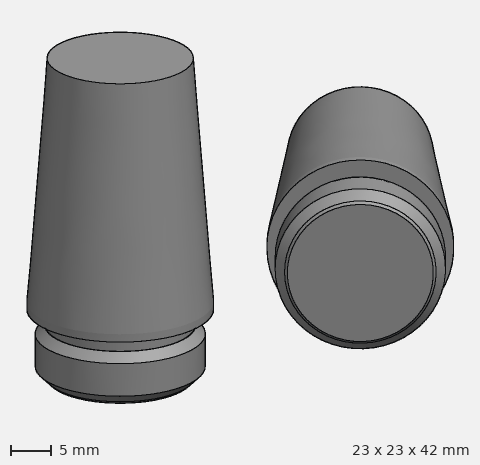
import cadquery as cq

overall_height = 42.0
cap_top_diameter = 18.0
flange_diameter = 23.0
flange_top_z = 10.0
flange_bottom_z = 9.0
neck_diameter = 18.5

sleeve_diameter = 20.95
sleeve_bore_diameter = 18.63
sleeve_top_z = 6.94

bottom_chamfer = 1.5

cap_top_radius = cap_top_diameter / 2
flange_radius = flange_diameter / 2
neck_radius = neck_diameter / 2
sleeve_radius = sleeve_diameter / 2
bore_radius = sleeve_bore_diameter / 2
sleeve_chamfer = sleeve_radius - bore_radius
sleeve_bottom_z = bottom_chamfer - sleeve_chamfer
plug_bottom_radius = sleeve_radius - bottom_chamfer


def revolve_about_z(outline):
    """Solid of revolution from a closed outline of (radius, z) points."""
    return cq.Workplane("XZ").polyline(outline).close().revolve(360, (0, 0), (0, 1))


def make_cap():
    """Solid tapered cap whose neck stands on the plug."""
    return revolve_about_z([
        (0, sleeve_top_z),
        (neck_radius, sleeve_top_z),
        (neck_radius, flange_bottom_z),
        (flange_radius, flange_bottom_z),
        (flange_radius, flange_top_z),
        (cap_top_radius, overall_height),
        (0, overall_height),
    ])


def make_sleeve():
    """Ring around the plug, chamfered at both ends."""
    return revolve_about_z([
        (bore_radius, sleeve_bottom_z),
        (sleeve_radius, bottom_chamfer),
        (sleeve_radius, sleeve_top_z - sleeve_chamfer),
        (bore_radius, sleeve_top_z),
    ])


def make_plug():
    """Core that fills the sleeve bore, its bottom edge flush with the sleeve chamfer."""
    return revolve_about_z([
        (0, 0),
        (plug_bottom_radius, 0),
        (bore_radius, sleeve_bottom_z),
        (bore_radius, sleeve_top_z),
        (0, sleeve_top_z),
    ])


cap = make_cap()
sleeve = make_sleeve()
plug = make_plug()

result = cq.Compound.makeCompound([cap.val(), sleeve.val(), plug.val()])